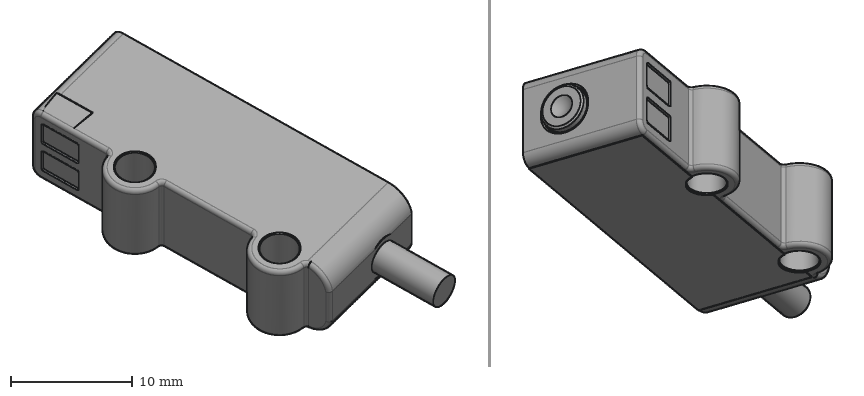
import cadquery as cq
import math

LENGTH = 30.95
DEPTH = 11.28
HEIGHT = 8.0
NOSE_RADIUS = 1.0
TAIL_RADIUS = 2.5
TAIL_FLAT = 3.66
EDGE_RADIUS = 0.4

LUG_RADIUS = 2.71
LUG_ROOT_RADIUS = 0.3
LUG_PITCH = 15.0
FIRST_LUG_X = 10.78
LUG_XS = [FIRST_LUG_X, FIRST_LUG_X + LUG_PITCH]
LUG_HOLE_DIAMETER = 3.3
LUG_HOLE_CHAMFER = 0.1

PLATE_THICKNESS = 0.08

AXIS_TO_BACK = 4.0
AXIS_Y = DEPTH - AXIS_TO_BACK
CABLE_RADIUS = 1.5
CABLE_LENGTH = 6.38
COLLAR_RADIUS = 2.1

SCREW_RADIUS = 2.05
SCREW_PROTRUSION = 0.47
SCREW_CHAMFER_LENGTH = 0.12
SCREW_CHAMFER_WIDTH = 0.22
SCREW_DIMPLE_RADIUS = 1.02
SCREW_DIMPLE_DEPTH = 0.35
SEAT_MOUTH_RADIUS = 2.3
SEAT_FLOOR_RADIUS = 2.15
SEAT_DEPTH = 0.2

WINDOW_LENGTH = 3.87
WINDOW_HEIGHT = 2.4
WINDOW_X = 3.02
WINDOW_PITCH = 3.3
WINDOW_DEPTH = 0.15
WINDOW_WALL_RUN = 0.1
WINDOW_CORNER_RADIUS = 0.2

INDICATOR_BACK_Y = 2.72
INDICATOR_BACK_XS = (0.58, 4.33)
INDICATOR_FRONT_XS = (0.88, 4.17)
INDICATOR_DEPTH = 0.08


def tail_run():
    """X length of the tail arc: tangent to the top face, meeting the end face at a slight angle."""
    rise = TAIL_RADIUS - (HEIGHT - TAIL_FLAT) / 2
    return math.sqrt(TAIL_RADIUS**2 - rise**2)


def side_profile_block(y_min, y_max):
    """Housing outline in the XZ plane, extruded from y_min to y_max."""
    half = HEIGHT / 2
    run = tail_run()
    half_sweep = math.asin(run / TAIL_RADIUS) / 2
    tail_x = LENGTH - run
    mid_x = tail_x + TAIL_RADIUS * math.sin(half_sweep)
    mid_z = half - TAIL_RADIUS * (1 - math.cos(half_sweep))
    block = (
        cq.Workplane("XZ", origin=(0, y_min, 0))
        .moveTo(0, -half)
        .lineTo(tail_x, -half)
        .threePointArc((mid_x, -mid_z), (LENGTH, -TAIL_FLAT / 2))
        .lineTo(LENGTH, TAIL_FLAT / 2)
        .threePointArc((mid_x, mid_z), (tail_x, half))
        .lineTo(0, half)
        .close()
        .extrude(y_min - y_max)
    )
    return block.edges("|Y and <X").fillet(NOSE_RADIUS)


def lug(x):
    """Half-round lug with concave roots, rounded along its top and bottom edges."""
    root_x = math.sqrt((LUG_RADIUS + LUG_ROOT_RADIUS) ** 2 - LUG_ROOT_RADIUS**2)
    root_angle = math.atan2(LUG_ROOT_RADIUS, root_x)
    touch_x = LUG_RADIUS * math.cos(root_angle)
    touch_y = -LUG_RADIUS * math.sin(root_angle)
    mid_angle = (math.pi / 2 + math.pi - root_angle) / 2
    mid_x = root_x + LUG_ROOT_RADIUS * math.cos(mid_angle)
    mid_y = LUG_ROOT_RADIUS * (math.sin(mid_angle) - 1)
    inner_y = LUG_RADIUS
    body = (
        cq.Workplane("XY", origin=(x, 0, -HEIGHT / 2))
        .moveTo(-root_x, 0)
        .threePointArc((-mid_x, mid_y), (-touch_x, touch_y))
        .threePointArc((0, -LUG_RADIUS), (touch_x, touch_y))
        .threePointArc((mid_x, mid_y), (root_x, 0))
        .lineTo(root_x, inner_y)
        .lineTo(-root_x, inner_y)
        .close()
        .extrude(HEIGHT)
    )
    return body.edges("%CIRCLE").fillet(EDGE_RADIUS)


def lug_hole(x):
    """Through hole cutter with a small chamfer at both mouths."""
    half = HEIGHT / 2
    radius = LUG_HOLE_DIAMETER / 2
    mouth = radius + LUG_HOLE_CHAMFER
    return (
        cq.Workplane("XZ", origin=(x, 0, 0))
        .moveTo(0, -half)
        .lineTo(mouth, -half)
        .lineTo(radius, LUG_HOLE_CHAMFER - half)
        .lineTo(radius, half - LUG_HOLE_CHAMFER)
        .lineTo(mouth, half)
        .lineTo(0, half)
        .close()
        .revolve(360, (0, 0, 0), (0, 1, 0))
    )


def cover_plate():
    """Thin plate under the housing, between its rounded edges, clear of the lug hole mouths."""
    x_max = LENGTH - tail_run()
    plate = (
        cq.Workplane("XY", origin=(0, 0, -HEIGHT / 2 - PLATE_THICKNESS))
        .moveTo(NOSE_RADIUS, EDGE_RADIUS)
        .lineTo(x_max, EDGE_RADIUS)
        .lineTo(x_max, DEPTH)
        .lineTo(NOSE_RADIUS, DEPTH)
        .close()
        .extrude(2 * PLATE_THICKNESS)
    )
    mouth_radius = LUG_HOLE_DIAMETER / 2 + LUG_HOLE_CHAMFER
    return plate.cut(
        cq.Workplane("XY", origin=(0, 0, -HEIGHT))
        .pushPoints([(x, 0) for x in LUG_XS])
        .circle(mouth_radius)
        .extrude(HEIGHT)
    )


def axial_rod(x_start, x_end, radius):
    """Round rod along the shared cable and screw axis."""
    return cq.Workplane("YZ", origin=(x_start, AXIS_Y, 0)).circle(radius).extrude(x_end - x_start)


def cable():
    """Cable and the collar that ends flush with the tail face."""
    collar = axial_rod(LENGTH - TAIL_RADIUS, LENGTH, COLLAR_RADIUS)
    return collar.union(axial_rod(LENGTH - TAIL_RADIUS, LENGTH + CABLE_LENGTH, CABLE_RADIUS))


def screw_seat():
    """Tapered seat cutter around the adjusting screw."""
    return (
        cq.Workplane("XY", origin=(0, AXIS_Y, 0))
        .lineTo(0, SEAT_MOUTH_RADIUS)
        .lineTo(SEAT_DEPTH, SEAT_FLOOR_RADIUS)
        .lineTo(SEAT_DEPTH, 0)
        .close()
        .revolve(360, (0, 0, 0), (1, 0, 0))
    )


def screw():
    """Adjusting screw head with a chamfered rim and a spherical dimple."""
    face_x = -SCREW_PROTRUSION
    back_x = 2 * SEAT_DEPTH
    sphere_radius = (SCREW_DIMPLE_RADIUS**2 + SCREW_DIMPLE_DEPTH**2) / (2 * SCREW_DIMPLE_DEPTH)
    dimple_x = face_x + SCREW_DIMPLE_DEPTH
    half_angle = math.asin(SCREW_DIMPLE_RADIUS / sphere_radius) / 2
    dimple_mid_x = dimple_x - sphere_radius * (1 - math.cos(half_angle))
    dimple_mid_radius = sphere_radius * math.sin(half_angle)
    return (
        cq.Workplane("XY", origin=(0, AXIS_Y, 0))
        .moveTo(back_x, 0)
        .lineTo(back_x, SCREW_RADIUS)
        .lineTo(face_x + SCREW_CHAMFER_LENGTH, SCREW_RADIUS)
        .lineTo(face_x, SCREW_RADIUS - SCREW_CHAMFER_WIDTH)
        .lineTo(face_x, SCREW_DIMPLE_RADIUS)
        .threePointArc((dimple_mid_x, dimple_mid_radius), (dimple_x, 0))
        .close()
        .revolve(360, (0, 0, 0), (1, 0, 0))
    )


def window(z):
    """Shallow window cutter whose walls taper in towards the floor."""
    taper = math.degrees(math.atan2(WINDOW_WALL_RUN, WINDOW_DEPTH))
    outline = cq.Sketch().rect(WINDOW_LENGTH, WINDOW_HEIGHT).vertices().fillet(WINDOW_CORNER_RADIUS)
    return (
        cq.Workplane("XZ", origin=(WINDOW_X, 0, z))
        .placeSketch(outline)
        .extrude(-WINDOW_DEPTH, taper=taper)
    )


def indicator():
    """Wedge cutter: no depth at the front edge, full depth at the back of the flat."""
    top = HEIGHT / 2
    back_left, back_right = INDICATOR_BACK_XS
    front_left, front_right = INDICATOR_FRONT_XS
    prism = (
        cq.Workplane("XY", origin=(0, 0, top - INDICATOR_DEPTH))
        .moveTo(front_left, EDGE_RADIUS)
        .lineTo(front_right, EDGE_RADIUS)
        .lineTo(back_right, INDICATOR_BACK_Y)
        .lineTo(back_left, INDICATOR_BACK_Y)
        .close()
        .extrude(2 * INDICATOR_DEPTH)
    )
    below_slope = (
        cq.Workplane("YZ")
        .moveTo(EDGE_RADIUS, top)
        .lineTo(INDICATOR_BACK_Y, top - INDICATOR_DEPTH)
        .lineTo(EDGE_RADIUS, top - INDICATOR_DEPTH)
        .close()
        .extrude(LENGTH)
    )
    return prism.cut(below_slope)


result = side_profile_block(0, DEPTH).faces("<Y").edges().fillet(EDGE_RADIUS)
lug_limits = side_profile_block(-2 * LUG_RADIUS, DEPTH)
for lug_x in LUG_XS:
    result = result.union(lug(lug_x).intersect(lug_limits))
result = result.union(cover_plate())
for lug_x in LUG_XS:
    result = result.cut(lug_hole(lug_x))

for side in (-1, 1):
    result = result.cut(window(side * WINDOW_PITCH / 2))
result = result.cut(indicator())
result = result.cut(screw_seat()).union(screw())
result = result.union(cable())